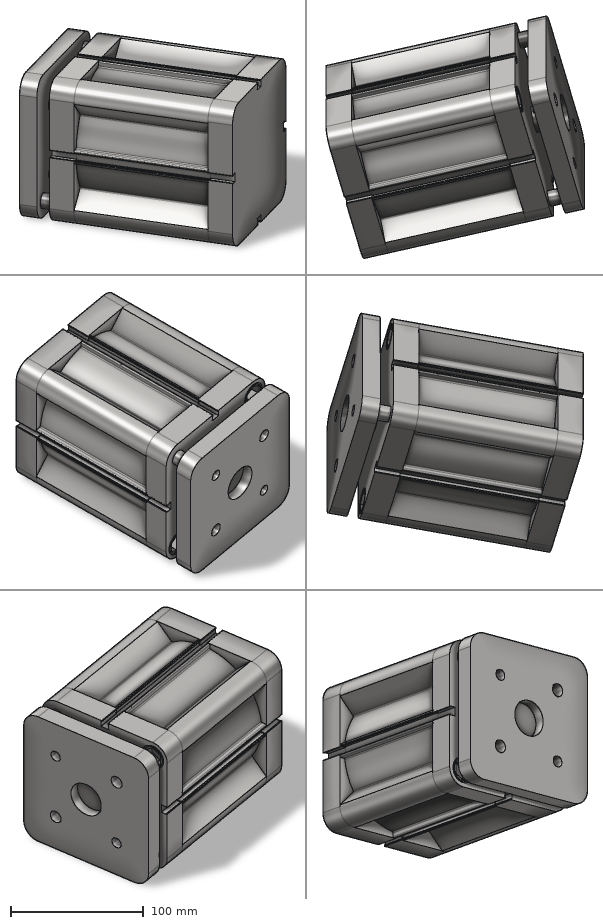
import cadquery as cq
import math


side = 116.0
corner_radius = 13.5
plate_thickness = 14.0
stroke_gap = 10.0
cap_length = 19.75
barrel_length = 107.5
housing_start = plate_thickness + stroke_gap
barrel_start = housing_start + cap_length
rear_cap_start = barrel_start + barrel_length

recess_diameter = 28.0
recess_depth = 8.4
hole_circle_diameter = 80.0
threaded_hole_diameter = 8.5
dowel_hole_diameter = 10.0

piston_diameter = 20.0
piston_flats = 17.0
piston_round_length = 1.5
piston_chamfer = 0.5
guide_diameter = 12.0
guide_offset = side / 2 - corner_radius

tube_radius = 53.5
root_fillet = 1.0
tube_tolerance = 0.01
post_flank_start = 43.2
post_inner_offset = 20.0
rail_width = 10.7
rail_edge_radius = 1.0

slot_width = 6.0
slot_lip = 1.0
cap_slot_inner_width = 7.0
rail_slot_inner_width = 8.4
slot_depth = 5.5
slot_chamfer = 0.6

outer_bore_diameter = 20.0
inner_bore_diameter = 17.5
bore_step = 0.2
socket_flats = 14.0
socket_depth = 9.0

quarter_turns = (90, 180, 270)


def section(x):
    """Workplane across the axis at x, with local axes Y and Z."""
    return cq.Workplane("YZ", origin=(x, 0, 0))


def rounded_block(x, length):
    return section(x).rect(side, side).extrude(length).edges("|X").fillet(corner_radius)


def around_axis(shape):
    """The shape joined with its copies at the other three quarter turns about X."""
    joined = shape
    for angle in quarter_turns:
        joined = joined.union(shape.rotate((0, 0, 0), (1, 0, 0), angle))
    return joined


def make_plate():
    hole_offset = hole_circle_diameter / 2 * math.cos(math.radians(45))
    plate = rounded_block(0, plate_thickness)
    recess = section(0).circle(recess_diameter / 2).extrude(recess_depth)
    threaded_holes = (
        section(0)
        .pushPoints([(hole_offset, hole_offset), (-hole_offset, -hole_offset)])
        .circle(threaded_hole_diameter / 2)
        .extrude(plate_thickness)
    )
    dowel_holes = (
        section(0)
        .pushPoints([(hole_offset, -hole_offset), (-hole_offset, hole_offset)])
        .circle(dowel_hole_diameter / 2)
        .extrude(plate_thickness)
    )
    return plate.cut(recess).cut(threaded_holes).cut(dowel_holes)


def make_corner_post():
    """Corner post: round outside, with two 45 degree flanks running into the tube."""
    flank_drop = corner_radius ** 2 - (post_flank_start - guide_offset) ** 2
    flank_top = guide_offset + math.sqrt(flank_drop)
    inner_far = post_inner_offset + flank_top - post_flank_start
    arc_middle = guide_offset + corner_radius * math.cos(math.radians(45))
    return (
        section(barrel_start)
        .moveTo(post_flank_start, flank_top)
        .threePointArc((arc_middle, arc_middle), (flank_top, post_flank_start))
        .lineTo(inner_far, post_inner_offset)
        .lineTo(post_inner_offset, inner_far)
        .close()
        .extrude(barrel_length)
    )


def make_rail():
    rail = section(barrel_start).center(0, side / 4).rect(rail_width, side / 2).extrude(barrel_length)
    return rail.faces(">Z").edges("|X").fillet(rail_edge_radius)


def on_tube_surface(edge):
    middle = edge.Center()
    return abs(math.hypot(middle.y, middle.z) - tube_radius) < tube_tolerance


def make_barrel():
    tube = section(barrel_start).circle(tube_radius).extrude(barrel_length)
    barrel = tube.union(around_axis(make_corner_post())).union(around_axis(make_rail()))
    return barrel.edges("|X").filter(on_tube_surface).fillet(root_fillet)


def make_slot(start, length, inner_width):
    """T-shaped slot along X, open at the +Z side."""
    top = side / 2
    inner_height = slot_depth - slot_lip
    inner_middle = top - slot_lip - inner_height / 2
    mouth = section(start).center(0, top - slot_depth / 2).rect(slot_width, slot_depth).extrude(length)
    inner = section(start).center(0, inner_middle).rect(inner_width, inner_height).extrude(length)
    return mouth.union(inner)


def make_slot_chamfer():
    """Bevel on both mouth edges of one slot, along the rail only."""
    top = side / 2
    half_width = slot_width / 2
    half_mouth = half_width + slot_chamfer
    corners = [
        (-half_mouth, top),
        (half_mouth, top),
        (half_width, top - slot_chamfer),
        (-half_width, top - slot_chamfer),
    ]
    return section(barrel_start).polyline(corners).close().extrude(barrel_length)


def make_corner_sockets():
    corners = section(housing_start).pushPoints(
        [(-guide_offset, guide_offset), (guide_offset, -guide_offset)]
    )
    socket_diameter = socket_flats / math.cos(math.radians(30))
    outer_bores = corners.circle(outer_bore_diameter / 2).extrude(bore_step)
    inner_bores = corners.circle(inner_bore_diameter / 2).extrude(2 * bore_step)
    sockets = (
        section(housing_start)
        .transformed(rotate=(0, 0, 90))
        .pushPoints([(guide_offset, guide_offset), (-guide_offset, -guide_offset)])
        .polygon(6, socket_diameter)
        .extrude(socket_depth)
    )
    return outer_bores.union(inner_bores).union(sockets)


def make_cap(start):
    slots = around_axis(make_slot(start, cap_length, cap_slot_inner_width))
    return rounded_block(start, cap_length).cut(slots)


def make_housing():
    """Barrel and caps as one solid; the flush faces stay split where the caps begin."""
    rail_slot = make_slot(barrel_start, barrel_length, rail_slot_inner_width).union(make_slot_chamfer())
    barrel = make_barrel().cut(around_axis(rail_slot))
    front_cap = make_cap(housing_start).cut(make_corner_sockets())
    return barrel.union(front_cap, clean=False).union(make_cap(rear_cap_start), clean=False)


def make_piston_rod():
    """Round rod between plate and front cap, with wrench flats on its Y sides."""
    rod = section(plate_thickness).circle(piston_diameter / 2).extrude(stroke_gap)
    rod = rod.faces("<X").edges().chamfer(piston_chamfer)
    flatted = section(plate_thickness).rect(piston_flats, piston_diameter)
    flatted = flatted.extrude(stroke_gap - piston_round_length)
    collar = section(housing_start - piston_round_length).circle(piston_diameter / 2)
    return rod.intersect(flatted.union(collar.extrude(piston_round_length)))


def make_guide_rod(y, z):
    return section(plate_thickness).center(y, z).circle(guide_diameter / 2).extrude(stroke_gap)


plate = make_plate()
housing = make_housing()
piston_rod = make_piston_rod()
guide_rods = []
for corner in (1, -1):
    guide_rods.append(make_guide_rod(corner * guide_offset, corner * guide_offset).val())

result = cq.Compound.makeCompound([plate.val(), housing.val(), piston_rod.val(), *guide_rods])